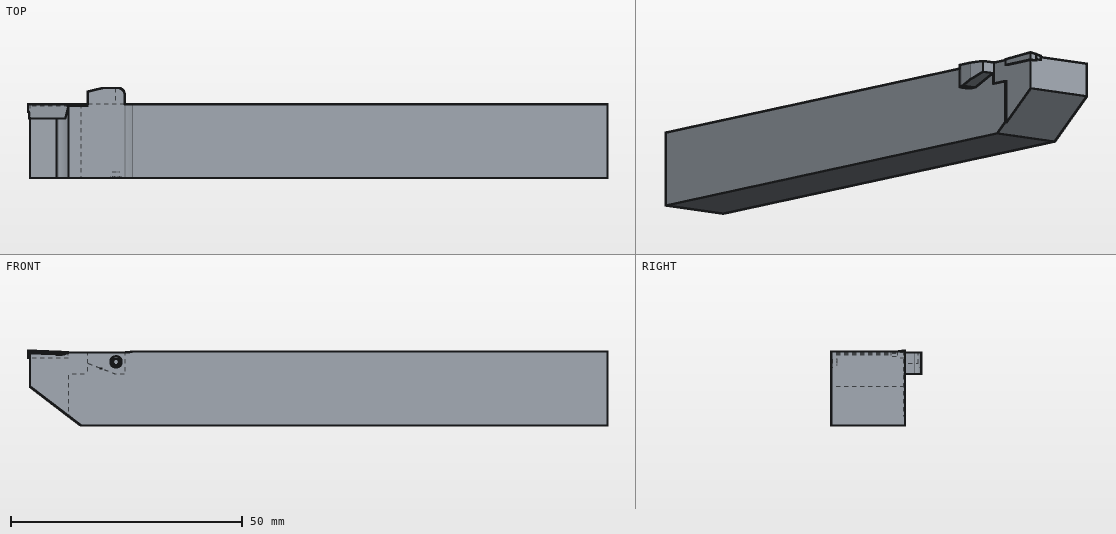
import cadquery as cq
import math

length = 125.0
shank_width = 16.0
shank_height = 16.0
front_gap = 0.4
nose_height = 8.4
nose_bevel_length = 11.0
head_top = 15.8
head_end = 20.9
shank_start = 22.6
side_relief = 0.4
side_relief_y = shank_width - side_relief

seat_front_height = 15.55
seat_rear_height = 15.4
groove_start = 6.2
groove_end = 6.5
groove_floor = 15.2
seat_end = 8.75

lug_start = 12.9
lug_outer_y = 19.5
lug_corner_y = 18.7
lug_slant_end = 16.2
lug_bottom = 11.1
lug_front_bottom = 13.4
lug_undercut_length = 6.0
lug_round = 1.5

insert_end = 8.6
insert_top = 16.2
insert_inner_y = 12.9
insert_inner_top = 15.8
insert_bottom = 14.9
tip_bottom = 14.6
tip_inner_y = 14.3
tip_setback = 0.2
rear_drop = 0.35

screw_x = 19.0
screw_z = 13.75
screw_radius = 1.2
screw_recess = 0.3
socket_across_flats = 1.3
socket_depth = 1.0


def ramp_radius(run, rise):
    """Radius of an arc that starts level and climbs the given rise over the given run."""
    return (run**2 + rise**2) / (2 * rise)


def make_body():
    """Shank, head and insert seat as one side outline, extruded across the width."""
    shank_ramp = ramp_radius(shank_start - head_end, shank_height - head_top)
    seat_ramp = ramp_radius(seat_end - groove_end, head_top - groove_floor)
    outline = (
        cq.Workplane("XZ")
        .moveTo(front_gap, nose_height)
        .lineTo(front_gap + nose_bevel_length, 0)
        .lineTo(length, 0)
        .lineTo(length, shank_height)
        .lineTo(shank_start, shank_height)
        .radiusArc((head_end, head_top), shank_ramp)
        .lineTo(seat_end, head_top)
        .radiusArc((groove_end, groove_floor), seat_ramp)
        .lineTo(groove_start, groove_floor)
        .lineTo(groove_start, seat_rear_height)
        .lineTo(front_gap, seat_front_height)
        .close()
    )
    return outline.extrude(-shank_width)


def make_side_relief():
    """Shallow relief on the +Y side: full height at the nose, then only above the lug's bottom."""
    return (
        cq.Workplane("XZ", origin=(0, side_relief_y, 0))
        .moveTo(0, 0)
        .lineTo(seat_end, 0)
        .lineTo(seat_end, lug_bottom)
        .lineTo(lug_start, lug_bottom)
        .lineTo(lug_start, shank_height)
        .lineTo(0, shank_height)
        .close()
        .extrude(-side_relief)
    )


def make_lug():
    """Lug with a slanted front corner, a rounded rear corner and a sloping underside."""
    lug = (
        cq.Workplane("XY", origin=(0, 0, lug_bottom))
        .moveTo(lug_start, side_relief_y)
        .lineTo(lug_start, lug_corner_y)
        .lineTo(lug_slant_end, lug_outer_y)
        .lineTo(head_end - lug_round, lug_outer_y)
        .radiusArc((head_end, lug_outer_y - lug_round), lug_round)
        .lineTo(head_end, side_relief_y)
        .close()
        .extrude(head_top - lug_bottom)
    )
    undercut = (
        cq.Workplane("XZ")
        .moveTo(lug_start, lug_front_bottom)
        .lineTo(lug_start + lug_undercut_length, lug_bottom)
        .lineTo(lug_start, lug_bottom)
        .close()
        .extrude(-lug_outer_y)
    )
    return lug.cut(undercut)


def insert_section(x, drop):
    """Cross-section of the insert at x, with its sloping top lowered by drop."""
    return cq.Wire.makePolygon(
        [
            cq.Vector(x, insert_inner_y, insert_bottom),
            cq.Vector(x, tip_inner_y, insert_bottom),
            cq.Vector(x, tip_inner_y, tip_bottom),
            cq.Vector(x, shank_width, tip_bottom),
            cq.Vector(x, shank_width, insert_top - drop),
            cq.Vector(x, insert_inner_y, insert_inner_top - drop),
        ],
        close=True,
    )


def make_insert():
    """Insert whose top falls toward -Y and toward its rear, with a proud tip at the +Y side."""
    sections = [insert_section(0, 0), insert_section(insert_end, rear_drop)]
    insert = cq.Workplane(cq.Solid.makeLoft(sections, True))
    setback = cq.Workplane("XY").box(tip_setback, tip_inner_y, insert_top, centered=False)
    return insert.cut(setback)


def make_screw_recess():
    """Round recess with a hexagon socket in its floor."""
    side = cq.Workplane("XZ").center(screw_x, screw_z)
    recess = side.circle(screw_radius).extrude(-screw_recess)
    across_corners = socket_across_flats / math.cos(math.pi / 6)
    socket = side.polygon(6, across_corners).extrude(-screw_recess - socket_depth)
    return recess.union(socket)


holder = make_body().cut(make_side_relief()).union(make_lug())
result = holder.union(make_insert()).cut(make_screw_recess())